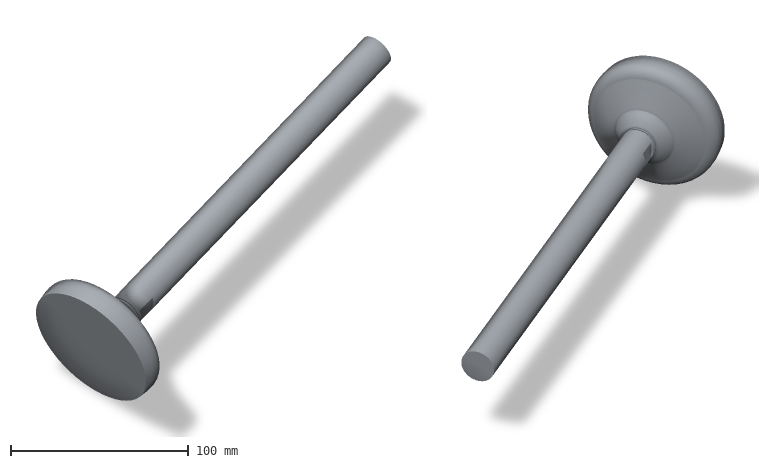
import cadquery as cq
import math

total_length = 261.5

spindle_radius = 10.0
flat_half_width = 8.5
flat_start = 33.5
flat_length = 11.8
stem_radius = 9.2
stem_length = 0.8

pad_radius = 40.0
base_radius = 39.2
taper_height = 6.0
band_height = 9.0
shoulder_radius = 7.3
shoulder_sweep = math.radians(80)
neck_radius = 17.8
neck_height = 23.3
dome_top_radius = 10.5
dome_top_height = 29.8
lip_radius = spindle_radius
lip_height = 1.0
foot_height = dome_top_height + lip_height


def turn_about_y(profile):
    return profile.close().revolve(360, (0, 0, 0), (0, 1, 0))


def make_foot():
    shoulder_center = pad_radius - shoulder_radius

    def shoulder_point(angle):
        return (
            shoulder_center + shoulder_radius * math.cos(angle),
            band_height + shoulder_radius * math.sin(angle),
        )

    dome_center = (
        dome_top_height**2 + dome_top_radius**2 - neck_height**2 - neck_radius**2
    ) / (2 * (dome_top_height - neck_height))
    dome_radius = math.hypot(neck_radius, neck_height - dome_center)
    dome_middle_height = (neck_height + dome_top_height) / 2
    dome_middle_radius = math.sqrt(dome_radius**2 - (dome_middle_height - dome_center) ** 2)

    profile = (
        cq.Workplane("XY")
        .lineTo(base_radius, 0)
        .lineTo(pad_radius, taper_height)
        .lineTo(pad_radius, band_height)
        .threePointArc(shoulder_point(shoulder_sweep / 2), shoulder_point(shoulder_sweep))
        .lineTo(neck_radius, neck_height)
        .threePointArc((dome_middle_radius, dome_middle_height), (dome_top_radius, dome_top_height))
        .lineTo(lip_radius, dome_top_height)
        .lineTo(lip_radius, foot_height)
        .lineTo(0, foot_height)
    )
    return turn_about_y(profile)


def make_spindle():
    rod_start = foot_height + stem_length
    profile = (
        cq.Workplane("XY")
        .moveTo(0, foot_height)
        .lineTo(stem_radius, foot_height)
        .lineTo(stem_radius, rod_start)
        .lineTo(spindle_radius, rod_start)
        .lineTo(spindle_radius, total_length)
        .lineTo(0, total_length)
    )
    return cut_wrench_flats(turn_about_y(profile))


def cut_wrench_flats(spindle):
    cutter_width = spindle_radius
    for side in (-1, 1):
        cutter = cq.Workplane("XY").box(cutter_width, flat_length, 2 * spindle_radius).translate(
            (side * (flat_half_width + cutter_width / 2), flat_start + flat_length / 2, 0)
        )
        spindle = spindle.cut(cutter)
    return spindle


foot = make_foot()
spindle = make_spindle()

result = cq.Compound.makeCompound([foot.val(), spindle.val()])